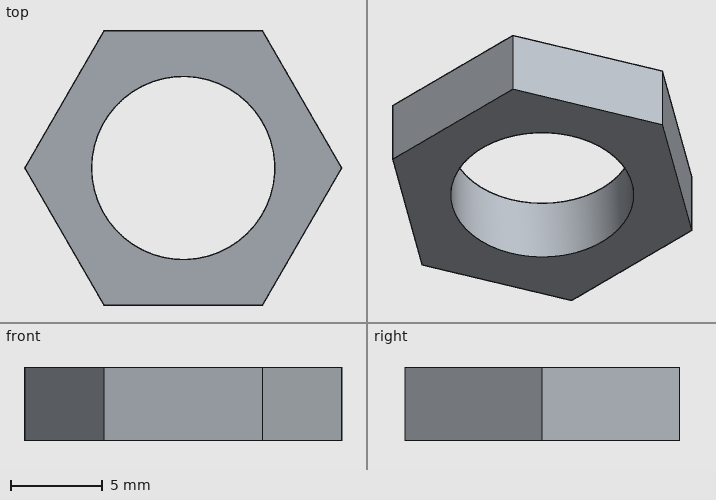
import cadquery as cq

corner_width = 17.32
thickness = 4.0
bore_diameter = 10.0

hexagon = cq.Workplane("XY").polygon(6, corner_width).extrude(thickness)
result = hexagon.faces(">Z").workplane().hole(bore_diameter)